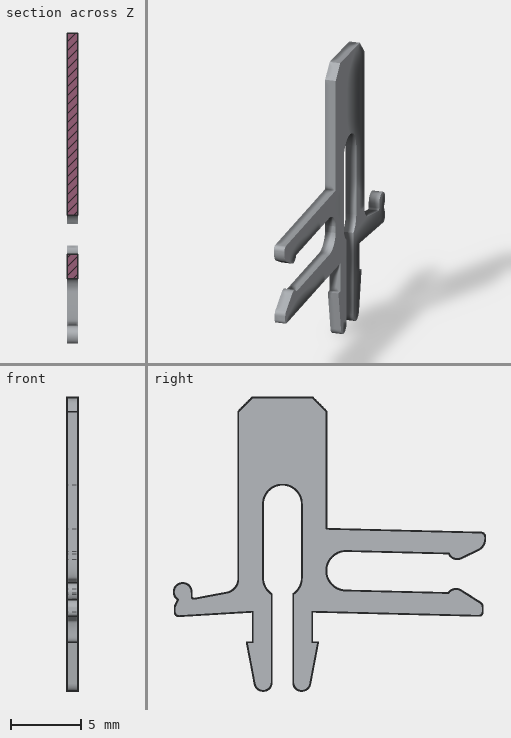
import cadquery as cq
import math

thickness = 0.8

body_half_width = 3.15
body_top = 20.95
body_bottom = 5.65
top_chamfer = 1.0

slot_radius = 1.38
slot_top = 14.72
slot_lower_center = 8.07
leg_gap_half = 0.75

leg_outer = 2.14
barb_outer = 2.55
barb_height = 3.5
leg_tip_radius = 0.62

mouth_radius = 1.4
mouth_y = 4.54
mouth_z = 8.58
jaw_taper = math.tan(math.radians(1.4))
nub_radius = 0.67
upper_nub = (12.48, 10.07)
lower_nub = (12.39, 6.63)
upper_tip_y = 14.48
upper_tip_bottom = 10.3
upper_root_top = 11.59
upper_tip_radii = (0.33, 0.9)
lower_tip_y = 14.3
lower_tip_top = 6.2
lower_tip_radii = (0.3, 0.4)

hook_head = (-7.12, 7.07)
hook_head_radius = 0.65
hook_root_top = 7.18
hook_root_radius = 1.0
hook_neck_z = 6.55
hook_neck_radius = 0.15
hook_notch = (-7.5, 6.45)
hook_end_y = -7.7
hook_end_top = 6.03
hook_end_bottom = 5.32
hook_end_radius = 0.31


def toward(start, end, distance):
    """Point at a distance from start along the direction to end."""
    ratio = distance / math.dist(start, end)
    return tuple(a + (b - a) * ratio for a, b in zip(start, end))


def plate(corners):
    """Extrude a polygon of (y, z, corner radius) entries; radius 0 stays sharp."""
    path = cq.Workplane("YZ").workplane(offset=-thickness / 2)
    started = False
    for i, (y, z, radius) in enumerate(corners):
        corner = (y, z)
        before = corners[i - 1][:2]
        after = corners[(i + 1) % len(corners)][:2]
        entry = exit_point = corner
        if radius > 0:
            angle_in = math.atan2(before[1] - z, before[0] - y)
            angle_out = math.atan2(after[1] - z, after[0] - y)
            half_angle = abs(math.remainder(angle_out - angle_in, 2 * math.pi)) / 2
            setback = radius / math.tan(half_angle)
            entry = toward(corner, before, setback)
            exit_point = toward(corner, after, setback)
            middle = tuple((a + b) / 2 for a, b in zip(entry, exit_point))
            arc_middle = toward(corner, middle, radius / math.sin(half_angle) - radius)
        path = path.lineTo(*entry) if started else path.moveTo(*entry)
        started = True
        if radius > 0:
            path = path.threePointArc(arc_middle, exit_point)
    return path.close().extrude(thickness)


def disc(center, radius):
    """Round plate of the clip thickness."""
    plane = cq.Workplane("YZ").workplane(offset=-thickness / 2)
    return plane.center(*center).circle(radius).extrude(thickness)


def tangent_point(point, center, radius, side):
    """Where a line from point touches a circle; side is +1 or -1 about the center line."""
    dy, dz = point[0] - center[0], point[1] - center[1]
    angle = math.atan2(dz, dy) + side * math.acos(radius / math.hypot(dy, dz))
    return (center[0] + radius * math.cos(angle), center[1] + radius * math.sin(angle))


def make_body():
    shoulder = body_top - top_chamfer
    top_half_width = body_half_width - top_chamfer
    return plate([
        (-leg_outer, body_bottom, 0),
        (body_half_width, body_bottom, 0),
        (body_half_width, shoulder, 0),
        (top_half_width, body_top, 0),
        (-top_half_width, body_top, 0),
        (-body_half_width, shoulder, 0),
        (-body_half_width, hook_root_top, 0),
        (-leg_outer, hook_root_top, 0),
    ])


def make_leg():
    """Leg on the +Y side, with a barb tapering to a round tip."""
    tip_center = (leg_gap_half + leg_tip_radius, leg_tip_radius)
    taper_end = tangent_point((barb_outer, barb_height), tip_center, leg_tip_radius, -1)
    shank = plate([
        (leg_gap_half, body_bottom, 0),
        (leg_outer, body_bottom, 0),
        (leg_outer, barb_height, 0),
        (barb_outer, barb_height, 0),
        (*taper_end, 0),
        (*tip_center, 0),
        (leg_gap_half, leg_tip_radius, 0),
    ])
    return shank.union(disc(tip_center, leg_tip_radius))


def make_jaw(nub, tip_inner, tip_outer, root_outer, mouth_side):
    """Jaw arm with a rounded tip and a round nub; mouth_side is +1 above the mouth."""
    mouth_edge = mouth_z + mouth_side * mouth_radius
    nub_edge = mouth_edge - (nub[0] - mouth_y) * jaw_taper
    ramp_end = tangent_point(tip_inner[:2], nub, nub_radius, -mouth_side)
    arm = plate([
        root_outer,
        tip_outer,
        tip_inner,
        (*ramp_end, 0),
        (nub[0], nub_edge, 0),
        (mouth_y, mouth_edge, 0),
        (0, mouth_edge, 0),
        (0, root_outer[1], 0),
    ])
    return arm.union(disc(nub, nub_radius))


def make_jaws():
    upper_tip_top = upper_root_top - (upper_tip_y - body_half_width) * jaw_taper
    lower_tip_bottom = body_bottom - (lower_tip_y - leg_outer) * jaw_taper
    upper = make_jaw(
        upper_nub,
        (upper_tip_y, upper_tip_bottom, upper_tip_radii[1]),
        (upper_tip_y, upper_tip_top, upper_tip_radii[0]),
        (body_half_width, upper_root_top, 0), 1,
    )
    lower = make_jaw(
        lower_nub,
        (lower_tip_y, lower_tip_top, lower_tip_radii[1]),
        (lower_tip_y, lower_tip_bottom, lower_tip_radii[0]),
        (leg_outer, body_bottom, 0), -1,
    )
    mouth_block = plate([
        (0, mouth_z - mouth_radius, 0),
        (mouth_y, mouth_z - mouth_radius, 0),
        (mouth_y, mouth_z + mouth_radius, 0),
        (0, mouth_z + mouth_radius, 0),
    ])
    mouth = disc((mouth_y, mouth_z), mouth_radius)
    return upper.union(lower).union(mouth_block).cut(mouth)


def make_hook():
    neck_y = hook_head[0] + hook_head_radius
    arm = plate([
        (-leg_outer, body_bottom, 0),
        (-leg_outer, slot_top, 0),
        (-body_half_width, slot_top, 0),
        (-body_half_width, hook_root_top, hook_root_radius),
        (neck_y, hook_neck_z, hook_neck_radius),
        (neck_y, hook_head[1], 0),
        (*hook_head, 0),
        (*hook_notch, 0),
        (hook_end_y, hook_end_top, hook_end_radius),
        (hook_end_y, hook_end_bottom, hook_end_radius),
    ])
    return arm.union(disc(hook_head, hook_head_radius))


def make_slot():
    """Round-ended slot plus the narrower gap that opens between the legs."""
    upper_center = slot_top - slot_radius
    wide = plate([
        (-slot_radius, slot_lower_center, 0),
        (slot_radius, slot_lower_center, 0),
        (slot_radius, upper_center, 0),
        (-slot_radius, upper_center, 0),
    ])
    gap = plate([
        (-leg_gap_half, 0, 0),
        (leg_gap_half, 0, 0),
        (leg_gap_half, slot_lower_center, 0),
        (-leg_gap_half, slot_lower_center, 0),
    ])
    ends = disc((0, slot_lower_center), slot_radius).union(disc((0, upper_center), slot_radius))
    return wide.union(gap).union(ends)


leg = make_leg()
clip = make_body().union(make_jaws()).union(make_hook())
clip = clip.union(leg).union(leg.mirror("XZ"))
result = clip.cut(make_slot()).clean()